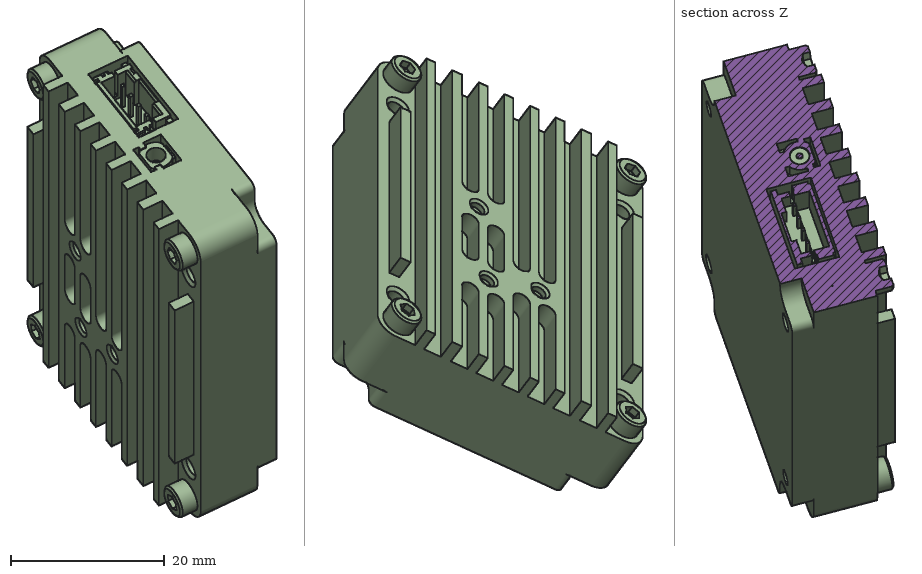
import cadquery as cq
import math

WIDTH = 40.0
HEIGHT = 56.0
DEPTH = 14.5
FIN_HEIGHT = 2.9
CASE_DEPTH = DEPTH - FIN_HEIGHT
CASE_CORNER_RADIUS = 2.7
HALF_WIDTH = WIDTH / 2
TOP = HEIGHT / 2

NOTCH_DEPTH = 2.9
NOTCH_SIZE = 5.45
NOTCH_INNER_RADIUS = 2.4
NOTCH_EDGE_RADIUS = 1.0

GROOVE_WIDTH = 2.5
FIN_WIDTH = 1.35
INNER_GROOVE_PITCH = GROOVE_WIDTH + FIN_WIDTH
OUTER_GROOVE_X = 11.75
PAD_WIDTH = 2 * OUTER_GROOVE_X + GROOVE_WIDTH + 2 * FIN_WIDTH
LEFT_UPPER_END = 4.8
LEFT_SLOT = (-9.2, -0.05)
LEFT_LOWER_END = -14.15
MIDDLE_UPPER_END = -6.7
MIDDLE_LOWER_END = -11.65

SIDE_FIN_WIDTH = 1.5
SIDE_FIN_LENGTH = 31.0
SIDE_FIN_X = 17.5

TAPPED_HOLES = [(-6.45, 2.4), (-5.0, -11.6), (2.8, -9.1)]
TAPPED_DIAMETER = 2.1
TAPPED_MOUTH_DIAMETER = 2.8
TAPPED_DEPTH = 1.1

MOUNT_X = 16.95
MOUNT_Z = 19.5
MOUNT_DIAMETER = 2.5
MOUNT_MOUTH_DIAMETER = 3.4
MOUNT_STEP_DIAMETER = 2.1
MOUNT_STEP_DEPTH = 3.0

SCREW_X = 16.95
SCREW_Z = 25.0
SCREW_HEAD_DIAMETER = 4.5
SCREW_HEAD_HEIGHT = 2.5
SCREW_HEAD_CHAMFER = 0.3
SOCKET_CORNER_DIAMETER = 2.3
SOCKET_FLAT_DIAMETER = SOCKET_CORNER_DIAMETER * math.cos(math.pi / 6)
SOCKET_DEPTH = 1.0
SOCKET_TIP_DEPTH = 0.55
SOCKET_ANGLES = (10.0, 10.0, 40.0, 33.0)

PLUG_X = -6.55
PLUG_POCKET_WIDTH = 12.55
PLUG_POCKET_FRONT = 3.0
PLUG_POCKET_BACK = 9.0
PLUG_POCKET_DEPTH = 7.85
PLUG_FLOOR_RADIUS = 1.7
PLUG_BASE_DEPTH = PLUG_POCKET_DEPTH + PLUG_FLOOR_RADIUS
PLUG_RECESS = 0.2
PLUG_WIDTH = 10.2
PLUG_FRONT = 3.25
PLUG_BACK = 8.6
PLUG_EAR_WIDTH = 11.75
PLUG_EAR_RECESS = 0.7
PLUG_REAR_EAR_FRONT = 7.85
PLUG_FRONT_EAR = (3.6, 5.7)
PLUG_SHOULDER_WIDTH = 11.0
PLUG_SHOULDER_BACK = 5.3
PLUG_RELIEF_SIZE = 0.5
PLUG_RELIEF_DEPTH = 0.45
PLUG_SIDE_NICK_SIZE = 0.4
PLUG_SIDE_NICK_Y = 4.7
CAVITY_WIDTH = 8.7
CAVITY_FRONT = 3.8
CAVITY_BACK = 7.55
CAVITY_RAMP = (5.45, 5.9)
CAVITY_SHALLOW = 5.05
CAVITY_DEEP = 6.7
KEYWAY_WIDTH = 4.4
KEYWAY_BACK = 8.25
MOUTH_LIP = 0.3
SLIT_BACK = 6.3
SLIT_DEPTH = 4.5
PIN_MARK_X = (-10.9, -9.95)
PIN_MARK_FRONT = 8.25
PIN_MARK_DEPTH = 0.3
PIN_SIZE = 0.45
PIN_Y = 6.3
PIN_PITCH = 1.95
PIN_COUNT = 4
PIN_RECESS = 0.9

COAX_X = 3.35
COAX_Y = 3.4
COAX_POCKET_DEPTH = 4.5
COAX_POCKET_WIDTH = 5.1
COAX_POCKET_FRONT = 3.0
COAX_POCKET_BACK = 5.7
COAX_FOOT_WIDTH = 4.4
COAX_FOOT_FRONT = 1.3
COAX_FOOT_BACK = 2.1
COAX_RECESS = 0.15
COAX_BODY_WIDTH = 3.5
COAX_BODY_FRONT = 1.7
COAX_BODY_BACK = 5.15
COAX_BODY_CHAMFER = 0.3
COAX_DOME_RADIUS = 2.2
COAX_TAB_WIDTH = 2.4
COAX_TAB_RECESS = 0.85
COAX_BORE_DIAMETER = 2.5
COAX_BORE_DEPTH = 2.8
COAX_PIN_DIAMETER = 0.85
COAX_PIN_CHAMFER = 0.3
COAX_PIN_HEIGHT = 1.4


def corners(x, z):
    """The four points mirrored about the middle of the case."""
    return [(-x, z), (x, z), (-x, -z), (x, -z)]


def block_below(center_x, width, front, back, recess, depth):
    """Box centred on center_x from recess down to depth below the top face."""
    height = depth - recess
    return (
        cq.Workplane("XY", origin=(center_x, (front + back) / 2, TOP - depth))
        .box(width, back - front, height, centered=(True, True, False))
    )


def front_revolve(x, z, outline):
    """Solid turned about the Y axis through (x, z); outline is in (radius, Y)."""
    return (
        cq.Workplane("XY", origin=(x, 0, z))
        .polyline(outline)
        .close()
        .revolve(360, (0, 0, 0), (0, 1, 0))
    )


def case():
    """Rounded block with a blended notch in each back corner."""
    body = (
        cq.Workplane("XZ")
        .rect(WIDTH, HEIGHT)
        .extrude(-CASE_DEPTH)
        .edges("|Y")
        .fillet(CASE_CORNER_RADIUS)
    )
    back_plane = cq.Workplane("XZ", origin=(0, CASE_DEPTH - NOTCH_DEPTH, 0))
    back_slab = back_plane.rect(WIDTH, HEIGHT).extrude(-NOTCH_DEPTH)
    wide_bar = back_plane.rect(WIDTH, HEIGHT - 2 * NOTCH_SIZE).extrude(-NOTCH_DEPTH)
    tall_bar = back_plane.rect(WIDTH - 2 * NOTCH_SIZE, HEIGHT).extrude(-NOTCH_DEPTH)
    cross = wide_bar.union(tall_bar)
    cross = cross.edges("|Y").edges("<X or >X or <Z or >Z").fillet(NOTCH_EDGE_RADIUS)
    for x, z in corners(HALF_WIDTH - NOTCH_SIZE, TOP - NOTCH_SIZE):
        inner_edge = cq.selectors.NearestToPointSelector((x, CASE_DEPTH - NOTCH_DEPTH / 2, z))
        cross = cross.edges(inner_edge).fillet(NOTCH_INNER_RADIUS)
    return body.cut(back_slab).union(cross)


def groove(x, low, high):
    """Round-ended groove cutter between two heights."""
    return (
        cq.Workplane("XZ", origin=(x, 0, (low + high) / 2))
        .slot2D(high - low, GROOVE_WIDTH, 90)
        .extrude(FIN_HEIGHT)
    )


def fins():
    """Grooved pad over the full height and a short fin along each side."""
    pad = cq.Workplane("XZ").rect(PAD_WIDTH, HEIGHT).extrude(FIN_HEIGHT)
    open_top = TOP + GROOVE_WIDTH
    open_bottom = -open_top
    left_spans = [(LEFT_UPPER_END, open_top), LEFT_SLOT, (open_bottom, LEFT_LOWER_END)]
    middle_spans = [(MIDDLE_UPPER_END, open_top), (open_bottom, MIDDLE_LOWER_END)]
    full_span = [(open_bottom, open_top)]
    grooves = [
        (-OUTER_GROOVE_X, full_span),
        (-2 * INNER_GROOVE_PITCH, left_spans),
        (-INNER_GROOVE_PITCH, left_spans),
        (0, middle_spans),
        (INNER_GROOVE_PITCH, middle_spans),
        (2 * INNER_GROOVE_PITCH, full_span),
        (OUTER_GROOVE_X, full_span),
    ]
    for x, spans in grooves:
        for low, high in spans:
            pad = pad.cut(groove(x, low, high))
    side_fins = (
        cq.Workplane("XZ")
        .pushPoints([(-SIDE_FIN_X, 0), (SIDE_FIN_X, 0)])
        .rect(SIDE_FIN_WIDTH, SIDE_FIN_LENGTH)
        .extrude(FIN_HEIGHT)
    )
    return pad.union(side_fins)


def tapped_hole(x, z):
    """Blind hole with a 45 degree mouth, opening on the fin tips."""
    radius = TAPPED_DIAMETER / 2
    mouth = TAPPED_MOUTH_DIAMETER / 2
    face = -FIN_HEIGHT
    outline = [
        (0, face),
        (mouth, face),
        (radius, face + mouth - radius),
        (radius, face + TAPPED_DEPTH),
        (0, face + TAPPED_DEPTH),
    ]
    return front_revolve(x, z, outline)


def mounting_hole(x, z, far_diameter):
    """Through hole with a 45 degree mouth, narrowing to far_diameter by a cone."""
    radius = MOUNT_DIAMETER / 2
    mouth = MOUNT_MOUTH_DIAMETER / 2
    far_radius = far_diameter / 2
    outline = [(0, 0), (mouth, 0), (radius, mouth - radius)]
    if far_radius < radius:
        outline.append((radius, MOUNT_STEP_DEPTH))
        outline.append((far_radius, MOUNT_STEP_DEPTH + radius - far_radius))
    outline += [(far_radius, CASE_DEPTH), (0, CASE_DEPTH)]
    return front_revolve(x, z, outline)


def screw_head(x, z, socket_angle):
    """Chamfered head with a hex socket that ends in a drill point."""
    head = (
        cq.Workplane("XZ", origin=(x, 0, z))
        .circle(SCREW_HEAD_DIAMETER / 2)
        .extrude(SCREW_HEAD_HEIGHT)
        .faces("<Y")
        .chamfer(SCREW_HEAD_CHAMFER)
    )
    socket = (
        cq.Workplane("XZ", origin=(x, -SCREW_HEAD_HEIGHT, z))
        .transformed(rotate=(0, 0, socket_angle))
        .polygon(6, SOCKET_CORNER_DIAMETER)
        .extrude(-SOCKET_DEPTH)
    )
    floor = SOCKET_DEPTH - SCREW_HEAD_HEIGHT
    tip = front_revolve(x, z, [(0, floor), (SOCKET_FLAT_DIAMETER / 2, floor), (0, floor + SOCKET_TIP_DEPTH)])
    return head.cut(socket).cut(tip)


def plug_pocket():
    """Rectangular pocket whose floor rolls down along the left wall."""
    plan = (PLUG_X, PLUG_POCKET_WIDTH, PLUG_POCKET_FRONT, PLUG_POCKET_BACK)
    floor = block_below(*plan, PLUG_POCKET_DEPTH, PLUG_BASE_DEPTH + PLUG_FLOOR_RADIUS)
    floor = floor.faces("<X").edges(">Z").fillet(PLUG_FLOOR_RADIUS)
    return block_below(*plan, 0, PLUG_BASE_DEPTH).cut(floor)


def plug_opening(width, front_profile, back, floor_depth):
    """Opening cut across the plug from its (Y, Z) front profile, with a bevelled lip on the back wall."""
    face = TOP - PLUG_RECESS
    back_profile = [
        (back, TOP - floor_depth),
        (back, face - MOUTH_LIP),
        (back + MOUTH_LIP, face),
        (back + MOUTH_LIP, TOP),
    ]
    return (
        cq.Workplane("YZ", origin=(PLUG_X, 0, 0))
        .polyline(front_profile + back_profile)
        .close()
        .extrude(width / 2, both=True)
    )


def plug_cavity():
    """Main opening, deeper in front, with a ramp up to the pin floor, and the keyway behind it."""
    ramp_front, ramp_back = CAVITY_RAMP
    deep = TOP - CAVITY_DEEP
    shallow = TOP - CAVITY_SHALLOW
    cavity_front = [(CAVITY_FRONT, TOP), (CAVITY_FRONT, deep), (ramp_front, deep), (ramp_back, shallow)]
    keyway_front = [(ramp_back, TOP), (ramp_back, shallow)]
    cavity = plug_opening(CAVITY_WIDTH, cavity_front, CAVITY_BACK, CAVITY_SHALLOW)
    return cavity.union(plug_opening(KEYWAY_WIDTH, keyway_front, KEYWAY_BACK, CAVITY_SHALLOW))


def plug():
    """Plug housing with side ears, side slits and four contact pins."""
    floor = PLUG_BASE_DEPTH
    housing = block_below(PLUG_X, PLUG_WIDTH, PLUG_FRONT, PLUG_BACK, PLUG_RECESS, floor)
    shoulder = block_below(PLUG_X, PLUG_SHOULDER_WIDTH, PLUG_FRONT, PLUG_SHOULDER_BACK, PLUG_RECESS, floor)
    rear_ear = block_below(PLUG_X, PLUG_EAR_WIDTH, PLUG_REAR_EAR_FRONT, PLUG_BACK, PLUG_EAR_RECESS, floor)
    front_ear = block_below(PLUG_X, PLUG_EAR_WIDTH, *PLUG_FRONT_EAR, PLUG_EAR_RECESS, floor)
    housing = housing.union(shoulder).union(rear_ear).union(front_ear)

    slit = block_below(PLUG_X, PLUG_WIDTH, CAVITY_RAMP[1], SLIT_BACK, 0, SLIT_DEPTH)
    mark_left, mark_right = PIN_MARK_X
    mark = block_below(
        (mark_left + mark_right) / 2, mark_right - mark_left,
        PIN_MARK_FRONT, PLUG_BACK, 0, PLUG_RECESS + PIN_MARK_DEPTH,
    )
    housing = housing.cut(plug_cavity()).cut(slit).cut(mark)

    relief_depth = PLUG_RECESS + PLUG_RELIEF_DEPTH
    nick_front = PLUG_SIDE_NICK_Y - PLUG_SIDE_NICK_SIZE / 2
    nick_back = PLUG_SIDE_NICK_Y + PLUG_SIDE_NICK_SIZE / 2
    for side in (-1, 1):
        relief_x = PLUG_X + side * (PLUG_WIDTH - PLUG_RELIEF_SIZE) / 2
        relief_back = PLUG_FRONT + PLUG_RELIEF_SIZE
        housing = housing.cut(
            block_below(relief_x, PLUG_RELIEF_SIZE, PLUG_FRONT, relief_back, 0, relief_depth)
        )
        nick_x = PLUG_X + side * (PLUG_SHOULDER_WIDTH - PLUG_SIDE_NICK_SIZE) / 2
        housing = housing.cut(
            block_below(nick_x, PLUG_SIDE_NICK_SIZE, nick_front, nick_back, 0, relief_depth)
        )

    for index in range(PIN_COUNT):
        pin_x = PLUG_X + (index - (PIN_COUNT - 1) / 2) * PIN_PITCH
        pin = block_below(pin_x, PIN_SIZE, PIN_Y - PIN_SIZE / 2, PIN_Y + PIN_SIZE / 2, PIN_RECESS, floor)
        housing = housing.union(pin)
    return housing


def coax_pocket():
    depth = COAX_POCKET_DEPTH
    main = block_below(COAX_X, COAX_POCKET_WIDTH, COAX_POCKET_FRONT, COAX_POCKET_BACK, 0, depth)
    neck = block_below(COAX_X, COAX_BODY_WIDTH, COAX_FOOT_BACK, COAX_POCKET_FRONT, 0, depth)
    foot = block_below(COAX_X, COAX_FOOT_WIDTH, COAX_FOOT_FRONT, COAX_FOOT_BACK, 0, depth)
    return main.union(neck).union(foot)


def coax():
    """Coaxial socket with a domed back, standing on the pocket floor."""
    floor = COAX_POCKET_DEPTH
    bottom = TOP - floor
    axis = cq.Workplane("XY", origin=(COAX_X, COAX_Y, bottom))
    dome = axis.circle(COAX_DOME_RADIUS).extrude(floor - COAX_RECESS)
    dome = dome.intersect(
        block_below(COAX_X, COAX_POCKET_WIDTH, COAX_POCKET_FRONT, COAX_BODY_BACK, COAX_RECESS, floor)
    )
    base = block_below(COAX_X, COAX_BODY_WIDTH, COAX_BODY_FRONT, COAX_Y, COAX_RECESS, floor)
    base = base.faces("<Y").edges("|Z").chamfer(COAX_BODY_CHAMFER)
    tab = block_below(COAX_X, COAX_TAB_WIDTH, COAX_BODY_BACK, COAX_POCKET_BACK, COAX_TAB_RECESS, floor)
    bore_floor = TOP - COAX_BORE_DEPTH
    bore_axis = cq.Workplane("XY", origin=(COAX_X, COAX_Y, bore_floor))
    bore = bore_axis.circle(COAX_BORE_DIAMETER / 2).extrude(COAX_BORE_DEPTH)
    pin = bore_axis.circle(COAX_PIN_DIAMETER / 2).extrude(COAX_PIN_HEIGHT)
    pin = pin.faces(">Z").chamfer(COAX_PIN_CHAMFER)
    return dome.union(base).union(tab).cut(bore).union(pin)


result = case().union(fins())

for hole_x, hole_z in TAPPED_HOLES:
    result = result.cut(tapped_hole(hole_x, hole_z))

for hole_x, hole_z in corners(MOUNT_X, MOUNT_Z):
    is_stepped = hole_x * hole_z > 0
    far_diameter = MOUNT_STEP_DIAMETER if is_stepped else MOUNT_DIAMETER
    result = result.cut(mounting_hole(hole_x, hole_z, far_diameter))

for (screw_x, screw_z), angle in zip(corners(SCREW_X, SCREW_Z), SOCKET_ANGLES):
    result = result.union(screw_head(screw_x, screw_z, angle))

result = result.cut(plug_pocket()).union(plug())
result = result.cut(coax_pocket()).union(coax())